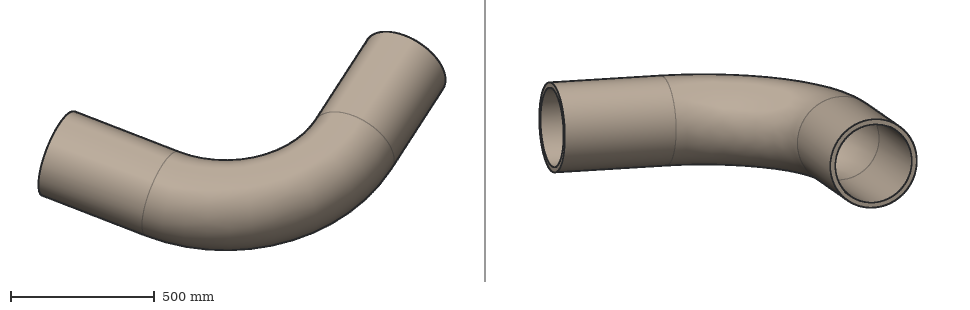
import cadquery as cq

overall_length = 1058.0
outer_diameter = 315.0
inner_diameter = 278.0
leg_length = 403.0
bend_angle = 90.0

bend_radius = overall_length - leg_length - outer_diameter / 2
corner = leg_length + bend_radius


def pipe_section(plane):
    """Ring-shaped cross-section of the pipe, centred on the plane origin."""
    return cq.Workplane(plane).circle(outer_diameter / 2).circle(inner_diameter / 2)


inlet_leg = pipe_section("YZ").extrude(leg_length)

bend = (
    pipe_section(cq.Plane(origin=(leg_length, 0, 0), xDir=(0, 1, 0), normal=(1, 0, 0)))
    .revolve(bend_angle, (bend_radius, 0, 0), (bend_radius, 1, 0))
)

outlet_leg = pipe_section(
    cq.Plane(origin=(corner, bend_radius, 0), xDir=(1, 0, 0), normal=(0, 1, 0))
).extrude(leg_length)

result = inlet_leg.union(bend).union(outlet_leg)